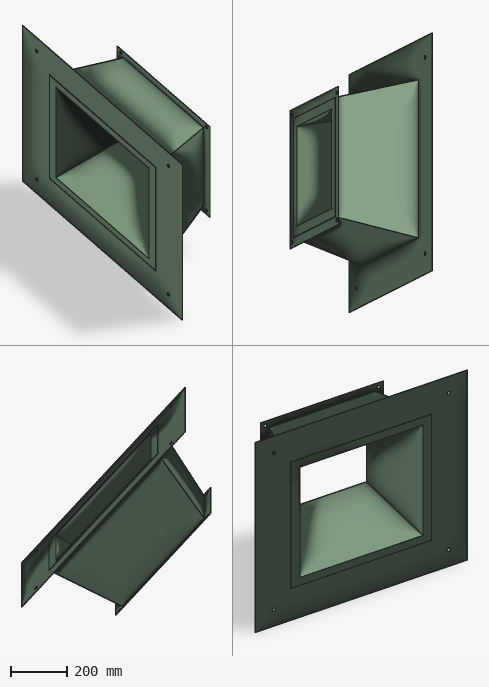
import cadquery as cq

plate_size = 860.0
depth = 290.0
sheet = 1.0

duct_front = 573.0
duct_rear = 432.0
flange_size = 500.0
opening_front = 500.0
opening_rear = 360.0

plate_hole_spacing = 709.5
plate_hole_diameter = 13.0
flange_hole_spacing = 460.0
flange_hole_diameter = 13.0

liner_front = duct_front - 2 * sheet
liner_rear = duct_rear - 2 * sheet
front_y = -depth / 2
rear_y = depth / 2


def square_frustum(front_width, rear_width):
    """Solid square frustum running from the front face to the rear face."""
    return (
        cq.Workplane("XZ", origin=(0, front_y, 0))
        .rect(front_width, front_width)
        .workplane(offset=-depth)
        .rect(rear_width, rear_width)
        .loft(ruled=True)
    )


def drilled_plate(size, start_y, hole_spacing, hole_diameter):
    """Square sheet with one hole near each corner, reaching from start_y toward +Y."""
    face = cq.Workplane("XZ", origin=(0, start_y, 0))
    holes = (
        face.rect(hole_spacing, hole_spacing, forConstruction=True)
        .vertices()
        .circle(hole_diameter / 2)
        .extrude(-sheet)
    )
    return face.rect(size, size).extrude(-sheet).cut(holes)


def make_casing():
    """Front plate, tapered sheet duct and rear flange in one piece."""
    front_plate = drilled_plate(plate_size, front_y, plate_hole_spacing, plate_hole_diameter)
    rear_flange = drilled_plate(flange_size, rear_y - sheet, flange_hole_spacing, flange_hole_diameter)
    duct = square_frustum(duct_front, duct_rear)
    cavity = square_frustum(liner_front, liner_rear)
    return front_plate.union(duct).union(rear_flange).cut(cavity)


def make_liner():
    """Thick tapered lining that fills the casing around the clear opening."""
    opening = square_frustum(opening_front, opening_rear)
    return square_frustum(liner_front, liner_rear).cut(opening)


casing = make_casing()
liner = make_liner()

result = cq.Compound.makeCompound([casing.val(), liner.val()])